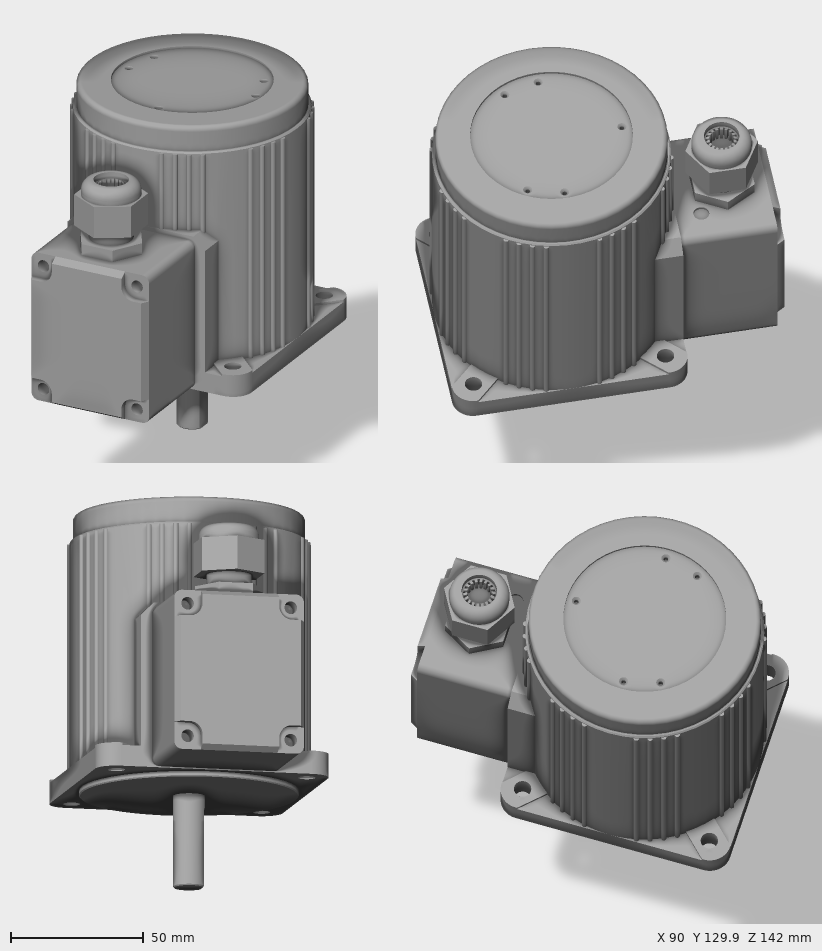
import cadquery as cq
import math


flange_width = 90.0
flange_corner_radius = 8.0
flange_thickness = 8.0
corner_pad_thickness = 9.0
corner_pad_width = 12.0
mounting_hole_offset = 36.8
mounting_hole_diameter = 6.5
spigot_radius = 41.5
spigot_height = 2.0
spigot_chamfer = 0.4
half_flange = flange_width / 2

body_radius = half_flange
body_top = 95.0
body_top_chamfer = 0.5
fin_radius = 1.0
fin_top_gap = 0.9
fin_first_angle = 13.1
fin_pitch_angle = 6.6
fins_per_group = 4

cap_radius = 43.7
cap_top = 105.0
cap_fillet = 2.0
label_recess_radius = 30.7
label_recess_depth = 1.0
screw_hole_circle_radius = 27.0
screw_hole_angles = (0, 30, 150, 180, 270)
screw_hole_diameter = 1.7
screw_hole_depth = 2.8
screw_sink_diameter = 3.4
screw_sink_angle = 90

seat_width = 58.5
seat_top = 63.0
seat_chamfer = 5.0

shaft_diameter = 12.0
shaft_tip = cap_top - 142
shaft_tip_chamfer = 0.4
shaft_flat_offset = 5.0
shaft_flat_top = -7.0
shaft_radius = shaft_diameter / 2

box_width = 50.1
box_bottom = 0.4
box_top = 61.3
box_front = 84.9
box_edge_radius = 3.0
cover_thickness = 3.0
cover_inset = 1.8
screw_pocket_size = 10.2
screw_pocket_radius = 5.0
cover_screw_inset = 5.1
cover_screw_diameter = 4.8
cover_screw_depth = 7.1
spare_hole_x = -13.0
spare_hole_y = -55.0
spare_hole_diameter = 6.0
spare_hole_depth = 1.0
box_height = box_top - box_bottom
box_mid_z = (box_top + box_bottom) / 2
cover_back = box_front - cover_thickness

gland_y = -65.2
gland_base_across_flats = 22.9
gland_base_height = 4.7
gland_neck_radius = 8.5
gland_neck_height = 4.8
gland_nut_across_flats = 24.1
gland_nut_height = 12.8
gland_dome_radius = 11.4
gland_dome_height = 6.0
gland_dome_fillet = 4.0
gland_mouth_radius = 6.7
gland_mouth_depth = 2.5
gland_bore_radius = 6.1
gland_bore_depth = 7.1
claw_count = 18
claw_inner_radius = 4.5
claw_width = 1.0
claw_rise = 0.9


def cylinder(radius, bottom, top):
    """Upright cylinder on the Z axis between two heights."""
    return cq.Workplane("XY").workplane(offset=bottom).circle(radius).extrude(top - bottom)


def make_flange():
    """Square mounting plate with raised pads at its holes and a spigot below."""
    outline = (
        cq.Workplane("XY")
        .rect(flange_width, flange_width)
        .extrude(corner_pad_thickness)
        .edges("|Z")
        .fillet(flange_corner_radius)
    )
    plate = outline.intersect(
        cq.Workplane("XY").rect(flange_width, flange_width).extrude(flange_thickness)
    )
    pad_cross = cq.Workplane("XY")
    for angle in (45, 135):
        strip = (
            cq.Workplane("XY")
            .transformed(rotate=(0, 0, angle))
            .rect(2 * flange_width, corner_pad_width)
            .extrude(corner_pad_thickness)
        )
        pad_cross = pad_cross.add(strip)
    pads = outline.intersect(pad_cross.combine())
    holes = (
        cq.Workplane("XY")
        .rect(2 * mounting_hole_offset, 2 * mounting_hole_offset, forConstruction=True)
        .vertices()
        .circle(mounting_hole_diameter / 2)
        .extrude(corner_pad_thickness)
    )
    spigot = cylinder(spigot_radius, -spigot_height, 0).faces("<Z").edges().chamfer(spigot_chamfer)
    return plate.union(pads).cut(holes).union(spigot)


def fin_angles():
    """Directions of the fins: one group on each side of the +X, +Y, -X and -Y axes."""
    angles = []
    for axis_angle in (0, 90, 180, 270):
        for i in range(fins_per_group):
            offset = fin_first_angle + i * fin_pitch_angle
            angles += [axis_angle + offset, axis_angle - offset]
    return angles


def make_finned_body():
    """Cylindrical body with round-topped fins running along it."""
    body = cylinder(body_radius, 0, body_top).faces(">Z").edges().chamfer(body_top_chamfer)
    fin_centres = [
        (body_radius * math.cos(math.radians(a)), body_radius * math.sin(math.radians(a)))
        for a in fin_angles()
    ]
    fins = (
        cq.Workplane("XY")
        .workplane(offset=flange_thickness)
        .pushPoints(fin_centres)
        .circle(fin_radius)
        .extrude(body_top - fin_top_gap - flange_thickness)
    )
    return body.union(fins)


def make_end_cap():
    """Rounded end cap with a shallow round recess and countersunk screw holes."""
    cap = cylinder(cap_radius, body_top, cap_top).faces(">Z").edges().fillet(cap_fillet)
    recess_floor = cap_top - label_recess_depth
    cap = cap.cut(cylinder(label_recess_radius, recess_floor, cap_top))
    screw_centres = [
        (
            screw_hole_circle_radius * math.cos(math.radians(a)),
            screw_hole_circle_radius * math.sin(math.radians(a)),
        )
        for a in screw_hole_angles
    ]
    return (
        cap.copyWorkplane(cq.Workplane("XY", origin=(0, 0, recess_floor)))
        .pushPoints(screw_centres)
        .cskHole(screw_hole_diameter, screw_sink_diameter, screw_sink_angle, screw_hole_depth)
    )


def make_box_seat():
    """Flat-faced block, flush with the flange edge, that carries the terminal box."""
    return (
        cq.Workplane("XY")
        .box(seat_width, half_flange, seat_top, centered=(True, False, False))
        .translate((0, -half_flange, 0))
        .edges("|Y and >Z")
        .chamfer(seat_chamfer)
    )


def make_motor():
    return make_flange().union(make_finned_body()).union(make_box_seat()).union(make_end_cap())


def make_shaft():
    """Output shaft below the spigot, with a flat on its +X side."""
    shaft = (
        cylinder(shaft_radius, shaft_tip, -spigot_height)
        .faces("<Z")
        .edges()
        .chamfer(shaft_tip_chamfer)
    )
    flat_cut = (
        cq.Workplane("XY")
        .box(shaft_radius, 2 * shaft_radius, shaft_flat_top - shaft_tip, centered=(False, True, False))
        .translate((shaft_flat_offset, 0, shaft_tip))
    )
    return shaft.cut(flat_cut)


def box_plane(distance):
    """Plane facing -Y at a distance in front of the shaft axis, centred on the box."""
    return cq.Workplane("XZ", origin=(0, -distance, box_mid_z))


def make_screw_pockets():
    """Corner pockets of the cover, each with one rounded inner corner, and their screw holes."""
    pockets = cq.Workplane("XY")
    for side in (-1, 1):
        for level in (-1, 1):
            corner_x = side * box_width / 2
            corner_z = level * box_height / 2
            pocket = (
                box_plane(cover_back)
                .center(corner_x, corner_z)
                .rect(2 * screw_pocket_size, 2 * screw_pocket_size)
                .extrude(cover_thickness)
                .edges("|Y")
                .fillet(screw_pocket_radius)
            )
            hole = (
                box_plane(cover_back)
                .center(corner_x - side * cover_screw_inset, corner_z - level * cover_screw_inset)
                .circle(cover_screw_diameter / 2)
                .extrude(-cover_screw_depth)
            )
            pockets = pockets.add(pocket).add(hole)
    return pockets.combine()


def make_terminal_box():
    """Box on the seat with rounded long edges and a bevelled cover."""
    box = (
        box_plane(half_flange)
        .rect(box_width, box_height)
        .extrude(cover_back - half_flange)
        .edges("|Y")
        .fillet(box_edge_radius)
    )
    bevel_angle = math.degrees(math.atan2(cover_inset, cover_thickness))
    cover = (
        box_plane(cover_back)
        .rect(box_width, box_height)
        .extrude(cover_thickness, taper=bevel_angle)
    )
    spare_hole = cylinder(spare_hole_diameter / 2, box_top - spare_hole_depth, box_top).translate(
        (spare_hole_x, spare_hole_y, 0)
    )
    return box.union(cover).cut(make_screw_pockets()).cut(spare_hole)


def hexagon(across_flats, height, bottom, turn):
    """Hexagonal prism; a turn of 0 points a corner along X."""
    across_corners = across_flats / math.cos(math.radians(30))
    return (
        cq.Workplane("XY", origin=(0, 0, bottom))
        .transformed(rotate=(0, 0, turn))
        .polygon(6, across_corners)
        .extrude(height)
    )


def make_claws(top):
    """Ring of clamping claws in the bore, sloping up towards the middle."""
    root_z = top - gland_mouth_depth
    profile = [
        (claw_inner_radius, top - gland_bore_depth),
        (gland_bore_radius + claw_width / 2, top - gland_bore_depth),
        (gland_bore_radius + claw_width / 2, root_z),
        (gland_bore_radius, root_z),
        (claw_inner_radius, root_z + claw_rise),
    ]
    claw = cq.Workplane("XZ").polyline(profile).close().extrude(claw_width / 2, both=True)
    claws = cq.Workplane("XY")
    for i in range(claw_count):
        claw_angle = (i + 0.5) * 360 / claw_count
        claws = claws.add(claw.rotate((0, 0, 0), (0, 0, 1), claw_angle))
    return claws


def make_gland():
    """Hexagonal base, neck, larger hexagonal nut and a domed mouth with claws inside."""
    neck_bottom = box_top + gland_base_height
    nut_bottom = neck_bottom + gland_neck_height
    dome_bottom = nut_bottom + gland_nut_height
    top = dome_bottom + gland_dome_height

    base = hexagon(gland_base_across_flats, gland_base_height, box_top, 0)
    neck = cylinder(gland_neck_radius, neck_bottom, nut_bottom)
    nut = hexagon(gland_nut_across_flats, gland_nut_height, nut_bottom, 30)
    dome = cylinder(gland_dome_radius, dome_bottom, top).faces(">Z").edges().fillet(gland_dome_fillet)
    mouth = cylinder(gland_mouth_radius, top - gland_mouth_depth, top)
    bore = cylinder(gland_bore_radius, top - gland_bore_depth, top)

    gland = base.union(neck).union(nut).union(dome).cut(mouth).cut(bore)
    for claw in make_claws(top).vals():
        gland = gland.union(cq.Workplane(claw))
    return gland.translate((0, gland_y, 0))


motor = make_motor()
shaft = make_shaft()
terminal_box = make_terminal_box()
gland = make_gland()

result = cq.Compound.makeCompound([motor.val(), shaft.val(), terminal_box.val(), gland.val()])